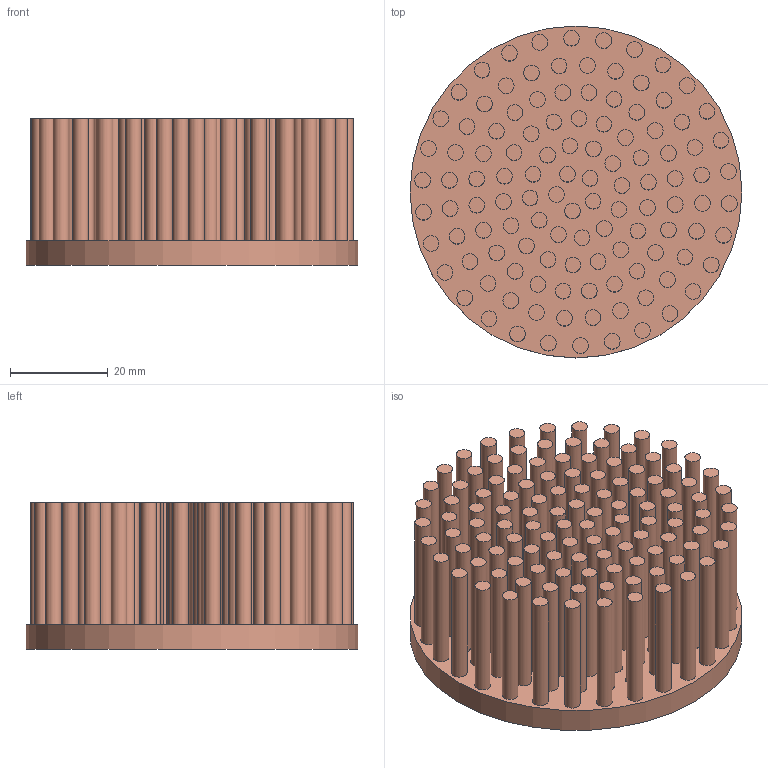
import cadquery as cq
import math

base_diameter = 68.0
base_thickness = 5.0

overall_height = 30.0
pin_diameter = 3.2
pin_height = overall_height - base_thickness

first_ring_radius = 4.0
ring_spacing = 5.5
pins_per_ring = [5, 12, 18, 24, 28, 30]
pattern_angle = 187.63


def ring_points(radius, count, start_angle):
    """Pin centres evenly spaced around one ring; start_angle is in degrees."""
    pitch = 360.0 / count
    angles = [math.radians(start_angle + i * pitch) for i in range(count)]
    return [(radius * math.cos(a), radius * math.sin(a)) for a in angles]


def pin_centres():
    """Centres of all pins, ring by ring."""
    centres = []
    for ring, count in enumerate(pins_per_ring):
        radius = first_ring_radius + ring * ring_spacing
        centres += ring_points(radius, count, pattern_angle)
    return centres


def base_plate():
    """Disc with its underside on Z = 0."""
    return cq.Workplane("XY").circle(base_diameter / 2).extrude(base_thickness)


def add_pins(plate):
    """Extrude every pin up from the top face of the plate."""
    return (
        plate.faces(">Z")
        .workplane(origin=(0, 0, base_thickness))
        .pushPoints(pin_centres())
        .circle(pin_diameter / 2)
        .extrude(pin_height)
    )


result = add_pins(base_plate())